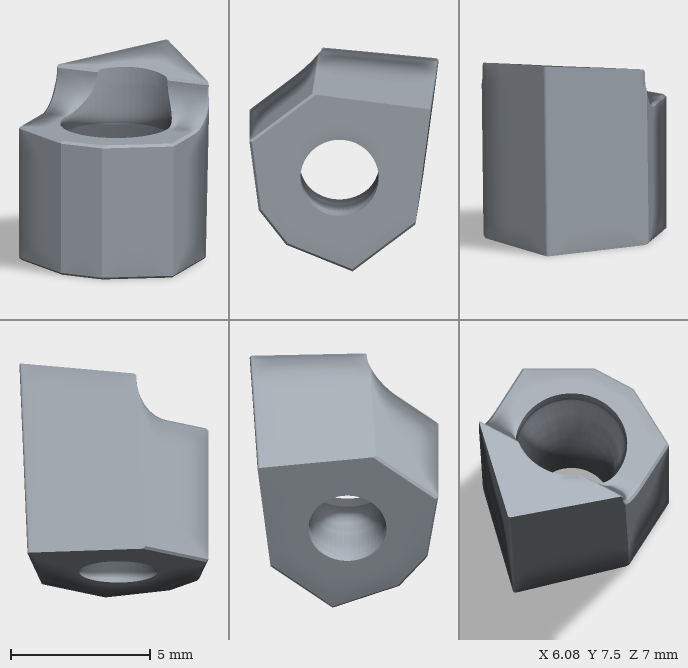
import cadquery as cq
import math

width = 6.08
front_y = -3.04
length = 7.5
front_flat_width = 1.62
front_corner_length = 1.29
seat_height = 4.99
tip_height = 7.0
top_slope = 10.0
relief_angle = 3.0
nose_radius = 0.1
step_edge_y = 1.44
step_radius = 1.31
bevel = 0.09
bore_radius = 1.4
counterbore_radius = 2.0
counterbore_depth = 0.525
seat_arc_radius = 6.0

tip_y = front_y + length
half_width = width / 2
stock_back_y = tip_y + width
slope_run = math.tan(math.radians(top_slope))


def top_height(y):
    """Height of the sloping top face at a given y."""
    return tip_height - (tip_y - y) * slope_run


def stepped_stock():
    """Prism with a cut-cornered front, a lower seat and a hollow step, bevelled round its edges."""
    half_flat = front_flat_width / 2
    corner_y = front_y + front_corner_length
    plan = (
        cq.Workplane("XY")
        .moveTo(-half_width, stock_back_y)
        .lineTo(-half_width, corner_y)
        .lineTo(-half_flat, front_y)
        .lineTo(half_flat, front_y)
        .lineTo(half_width, corner_y)
        .lineTo(half_width, stock_back_y)
        .close()
        .extrude(2 * tip_height)
    )
    step_edge_z = top_height(step_edge_y)
    arc_centre_z = seat_height + step_radius
    arc_start_y = step_edge_y - math.sqrt(step_radius**2 - (step_edge_z - arc_centre_z) ** 2)
    arc_middle_y = arc_start_y + step_radius * math.sin(math.pi / 4)
    arc_middle_z = arc_centre_z - step_radius * math.cos(math.pi / 4)
    side_profile = (
        cq.Workplane("YZ")
        .moveTo(front_y, 0)
        .lineTo(front_y, seat_height)
        .lineTo(arc_start_y, seat_height)
        .threePointArc((arc_middle_y, arc_middle_z), (step_edge_y, step_edge_z))
        .lineTo(stock_back_y, top_height(stock_back_y))
        .lineTo(stock_back_y, 0)
        .close()
        .extrude(half_width, both=True)
    )
    stock = plan.intersect(side_profile)
    upright_edges = cq.selectors.ParallelDirSelector(cq.Vector(0, 0, 1))
    rim = stock.edges(cq.selectors.InverseSelector(upright_edges))
    return rim.chamfer(bevel)


def leaning_nose():
    """Right-angled point whose two faces lean back toward the underside."""
    rounding_setback = nose_radius * (math.sqrt(2) - 1)
    sharp_tip_y = tip_y + rounding_setback
    lean = math.tan(math.radians(relief_angle))
    blank_height = 2 * tip_height

    def triangle(z):
        nose_y = sharp_tip_y + (z - tip_height) * lean
        reach = 2 * length
        return [(0, nose_y), (reach, nose_y - reach), (-reach, nose_y - reach)]

    blank = (
        cq.Workplane("XY")
        .polyline(triangle(0))
        .close()
        .workplane(offset=blank_height)
        .polyline(triangle(blank_height))
        .close()
        .loft(ruled=True)
    )
    return blank.edges(">Y").fillet(nose_radius)


def screw_hole():
    """Through bore, convex rounded seat and counterbore, as one turned solid."""
    seat_width = counterbore_radius - bore_radius
    seat_angle = math.acos(1 - seat_width / seat_arc_radius)
    seat_top_z = seat_height - counterbore_depth
    seat_bottom_z = seat_top_z - seat_arc_radius * math.sin(seat_angle)
    arc_middle_x = bore_radius + seat_arc_radius * (1 - math.cos(seat_angle / 2))
    arc_middle_z = seat_bottom_z + seat_arc_radius * math.sin(seat_angle / 2)
    return (
        cq.Workplane("XZ")
        .lineTo(bore_radius, 0)
        .lineTo(bore_radius, seat_bottom_z)
        .threePointArc((arc_middle_x, arc_middle_z), (counterbore_radius, seat_top_z))
        .lineTo(counterbore_radius, tip_height)
        .lineTo(0, tip_height)
        .close()
        .revolve(360, (0, 0, 0), (0, 1, 0))
    )


result = stepped_stock().intersect(leaning_nose()).cut(screw_hole())